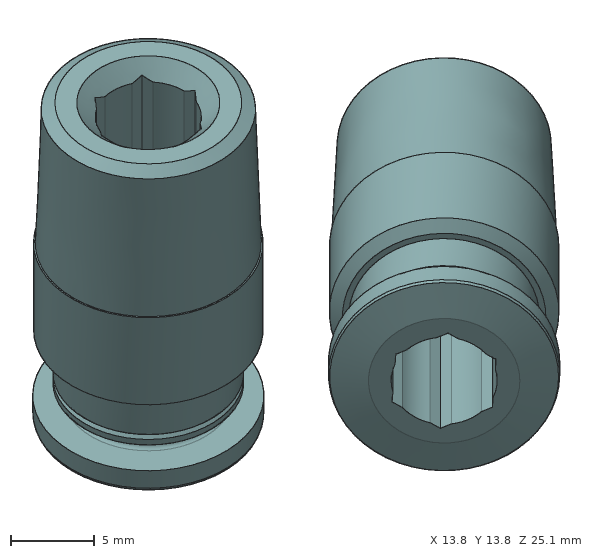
import cadquery as cq
import math

height = 25.1

flange_radius = 13.8 / 2
bottom_face_radius = 4.52
rim_lower_radius = 6.83
rim_lower_z = 0.43
rim_upper_z = 0.63
flange_top_z = 2.0

stem_radius = 9.4 / 2
stem_fillet = 0.38

collar_radius = 11.4 / 2
ring_bottom_z = 2.89
ring_bottom_chamfer = 0.13
groove_z = 3.65
groove_depth = 0.2
groove_half_width = 0.2

sleeve_radius = 13.7 / 2
sleeve_bottom_z = 6.68
sleeve_chamfer_height = 0.5
sleeve_chamfer_width = 0.78
grip_bottom_z = 14.05
grip_bottom_radius = 6.75
grip_top_radius = 6.4
top_chamfer_height = 0.48
top_face_radius = 5.57

hex_across_flats = 6.0
relief_diameter = 6.33
mouth_diameter = 8.53


def outer_body():
    """Solid of revolution about Z, drawn as (radius, height) points."""
    groove_radius = collar_radius - groove_depth
    fillet_offset = stem_fillet * (1 - math.sqrt(0.5))
    profile = (
        cq.Workplane("XZ")
        .moveTo(0, 0)
        .lineTo(bottom_face_radius, 0)
        .lineTo(rim_lower_radius, rim_lower_z)
        .lineTo(flange_radius, rim_upper_z)
        .lineTo(flange_radius, flange_top_z)
        .lineTo(stem_radius + stem_fillet, flange_top_z)
        .threePointArc(
            (stem_radius + fillet_offset, flange_top_z + fillet_offset),
            (stem_radius, flange_top_z + stem_fillet),
        )
        .lineTo(stem_radius, ring_bottom_z)
        .lineTo(collar_radius - ring_bottom_chamfer, ring_bottom_z)
        .lineTo(collar_radius, ring_bottom_z + ring_bottom_chamfer)
        .lineTo(collar_radius, groove_z - groove_half_width)
        .lineTo(groove_radius, groove_z)
        .lineTo(collar_radius, groove_z + groove_half_width)
        .lineTo(collar_radius, sleeve_bottom_z)
        .lineTo(sleeve_radius - sleeve_chamfer_width, sleeve_bottom_z)
        .lineTo(sleeve_radius, sleeve_bottom_z + sleeve_chamfer_height)
        .lineTo(sleeve_radius, grip_bottom_z)
        .lineTo(grip_bottom_radius, grip_bottom_z)
        .lineTo(grip_top_radius, height - top_chamfer_height)
        .lineTo(top_face_radius, height)
        .lineTo(0, height)
        .close()
    )
    return profile.revolve(360, (0, 0, 0), (0, 1, 0))


def bore():
    """Hexagon with corners on the Y axis, joined to its round relief."""
    corner_diameter = hex_across_flats / math.cos(math.pi / 6)
    hexagon = (
        cq.Workplane("XY")
        .polygon(6, corner_diameter)
        .extrude(height)
        .rotate((0, 0, 0), (0, 0, 1), 30)
    )
    relief = cq.Workplane("XY").circle(relief_diameter / 2).extrude(height)
    return hexagon.union(relief)


def mouth():
    """45 degree cone that opens at the top face."""
    radius = mouth_diameter / 2
    return cq.Workplane(cq.Solid.makeCone(0, radius, radius, pnt=cq.Vector(0, 0, height - radius)))


result = outer_body().cut(bore()).cut(mouth())